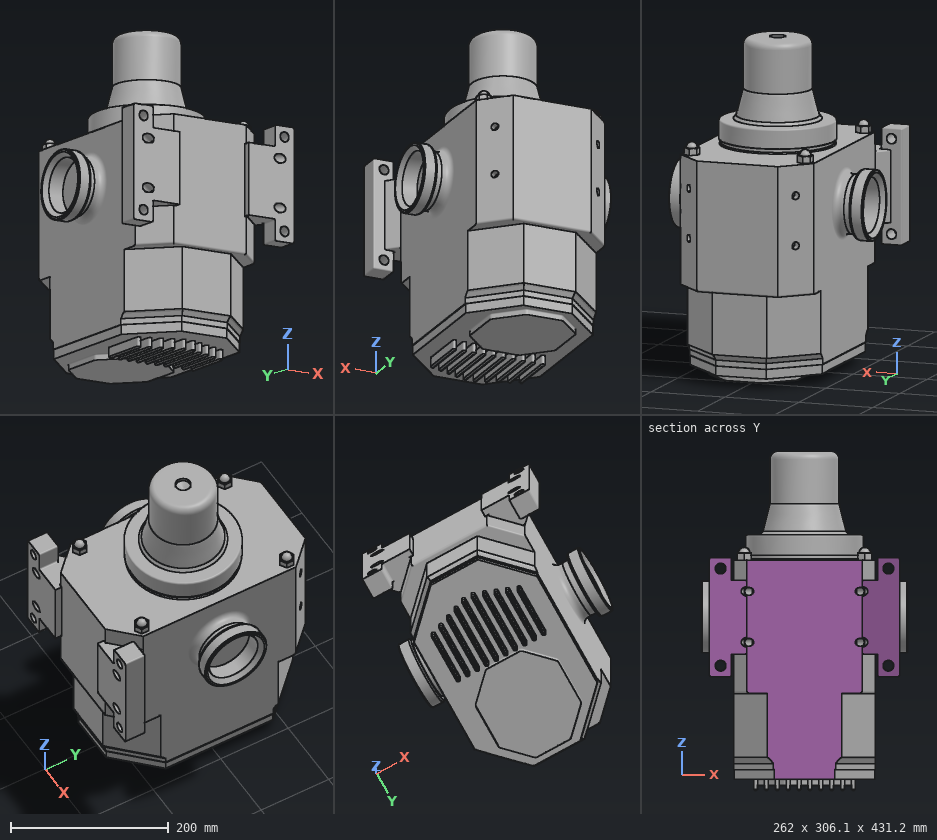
import cadquery as cq
import math


half_width = 90.0
cover_top = 278.5
upper_bottom = 109.0
upper_half_depth = 148.3
upper_corner = 35.5
upper_edge_round = 3.0
lower_half_depth = 140.5
lower_corner = 53.5
shoulder_top = 28.0
shoulder_break = 26.0
shoulder_bottom = 20.3
break_half_depth = 139.0
neck_half_depth = 135.5
neck_corner = 56.0
base_top = 12.5
base_inset = 1.0

shaft_top = 417.0
shaft_radius = 44.0
shaft_round = 10.0
shaft_bottom = 350.0
cone_top_radius = 45.0
cone_top = 347.5
cone_radius = 53.0
cone_bottom = 315.0
cone_foot_radius = 56.5
hub_top = 311.0
hub_bottom = 285.0
hub_radius = 75.0
hub_round = 2.5
spigot_radius = 72.5
spigot_foot = 1.7
center_hole_radius = 10.0
center_hole_depth = 4.5
center_hole_tip = 5.5

nut_x = 76.7
nut_y = 107.5
nut_flats = 17.5
nut_height = 9.0
nut_edge_angle = 30
dome_radius = 7.5

port_z = 206.5
boss_end = 103.5
pipe_radius = 38.5
boss_fillet = 8.0
fitting_end = 131.0
collar_inner = 113.0
collar_radius = 45.5
collar_edge = 1.5
collar_back_edge = 2.5
bore_radius = 35.8
mouth_radius = 42.0
mouth_depth = 6.5

bracket_front = -157.8
bracket_top = 253.5
bracket_bottom = 158.5
bracket_inner_x = 52.0
lug_inner_x = 92.2
lug_outer_x = 121.0
lug_back = -128.5
lug_top = 282.0
lug_bottom = 130.0
bracket_round = 2.0
lug_hole_x = 106.5
lug_hole_radius = 6.5
lug_hole_inset = 14.2
screw_spacing = 64.5
screw_hole_radius = 6.0
tapped_hole_radius = 4.7
tapped_hole_depth = 13.0

pad_half_width = 60.0
pad_back = 125.0
pad_front = -6.0
pad_corner = 34.5
pad_round = 5.0
pad_foot_round = 1.7
pad_height = 7.8
rib_count = 10
rib_pitch = 14.0
rib_width = 5.0
rib_back = -10.0
rib_shortest_front = -79.7
rib_front_step = 5.0
rib_height = 14.2
rib_tip = 2.0


def octagon(half_x, half_y, corner):
    """Corner points of a rectangle with 45 degree corners."""
    return [
        (half_x, half_y - corner),
        (half_x - corner, half_y),
        (corner - half_x, half_y),
        (-half_x, half_y - corner),
        (-half_x, corner - half_y),
        (corner - half_x, -half_y),
        (half_x - corner, -half_y),
        (half_x, corner - half_y),
    ]


def prism(outline, bottom, top):
    return cq.Workplane("XY").workplane(offset=bottom).polyline(outline).close().extrude(top - bottom)


def sloped_prism(bottom_outline, bottom, top_outline, top):
    """Body with flat sloping sides between two outlines at different heights."""
    return (
        cq.Workplane("XY")
        .workplane(offset=bottom)
        .polyline(bottom_outline)
        .close()
        .workplane(offset=top - bottom)
        .polyline(top_outline)
        .close()
        .loft(ruled=True)
    )


def make_casing():
    """Octagonal casing: wide upper part, narrower lower part, sloped shoulder, neck and base plate."""
    lower_outline = octagon(half_width, lower_half_depth, lower_corner)
    break_outline = octagon(half_width, break_half_depth, (lower_corner + neck_corner) / 2)
    neck_outline = octagon(half_width, neck_half_depth, neck_corner)
    upper = prism(octagon(half_width, upper_half_depth, upper_corner), upper_bottom, cover_top)
    upper = upper.faces("<Z").edges("not |Y").fillet(upper_edge_round)
    lower = prism(lower_outline, shoulder_top, upper_bottom)
    shoulder_edge = sloped_prism(break_outline, shoulder_break, lower_outline, shoulder_top)
    shoulder = sloped_prism(neck_outline, shoulder_bottom, break_outline, shoulder_break)
    neck = prism(neck_outline, base_top, shoulder_bottom)
    base_outline = octagon(half_width - base_inset, neck_half_depth - base_inset, neck_corner - base_inset)
    base = prism(base_outline, 0, base_top)
    return upper.union(lower).union(shoulder_edge).union(shoulder).union(neck).union(base)


def make_shaft():
    """Shaft with its cone, hub and spigot, turned about Z in one piece, with a drilled top."""
    arc_mid = math.sqrt(0.5)
    hub_flat_radius = hub_radius - hub_round
    hub_round_z = hub_top - hub_round
    shaft_flat_radius = shaft_radius - shaft_round
    shaft_round_z = shaft_top - shaft_round
    return (
        cq.Workplane("XZ")
        .moveTo(0, cover_top)
        .lineTo(spigot_radius + spigot_foot, cover_top)
        .lineTo(spigot_radius, cover_top + spigot_foot)
        .lineTo(spigot_radius, hub_bottom)
        .lineTo(hub_radius, hub_bottom)
        .lineTo(hub_radius, hub_round_z)
        .threePointArc(
            (hub_flat_radius + hub_round * arc_mid, hub_round_z + hub_round * arc_mid),
            (hub_flat_radius, hub_top),
        )
        .lineTo(cone_foot_radius, hub_top)
        .lineTo(cone_radius, cone_bottom)
        .lineTo(cone_top_radius, cone_top)
        .lineTo(shaft_radius, shaft_bottom)
        .lineTo(shaft_radius, shaft_round_z)
        .threePointArc(
            (shaft_flat_radius + shaft_round * arc_mid, shaft_round_z + shaft_round * arc_mid),
            (shaft_flat_radius, shaft_top),
        )
        .lineTo(center_hole_radius, shaft_top)
        .lineTo(center_hole_radius, shaft_top - center_hole_depth)
        .lineTo(0, shaft_top - center_hole_depth - center_hole_tip)
        .close()
        .revolve(360, (0, 0), (0, 1))
    )


def make_cap_nut(x, y):
    """Domed hexagon nut standing on the cover, with flats facing along X."""
    across_corners = nut_flats / math.cos(math.pi / 6)
    hexagon = cq.Workplane("XY").transformed(rotate=(0, 0, 30)).polygon(6, across_corners).extrude(nut_height)
    cone_foot = nut_flats / 2 + nut_height / math.tan(math.radians(nut_edge_angle))
    cone = cq.Workplane(cq.Solid.makeCone(cone_foot, nut_flats / 2, nut_height))
    dome = cq.Workplane("XY").sphere(dome_radius).translate((0, 0, nut_height))
    return hexagon.intersect(cone).union(dome).translate((x, y, cover_top))


def make_port_boss(side):
    """Short pipe boss on one X side, flared by a fillet where it meets the casing."""
    flare_radius = pipe_radius + boss_fillet
    flare_end = half_width + boss_fillet
    arc_offset = boss_fillet * (1 - math.sqrt(0.5))
    boss = (
        cq.Workplane("XY")
        .moveTo(half_width, 0)
        .lineTo(half_width, flare_radius)
        .threePointArc(
            (half_width + arc_offset, pipe_radius + arc_offset),
            (flare_end, pipe_radius),
        )
        .lineTo(boss_end, pipe_radius)
        .lineTo(boss_end, 0)
        .close()
        .revolve(360, (0, 0), (1, 0))
        .translate((0, 0, port_z))
    )
    return boss if side > 0 else boss.mirror("YZ")


def make_corner_holes(radius, outer_distance, inner_distance):
    """Cylinders square to the four corner faces, between two distances along each face normal."""
    face_x = half_width - upper_corner / 2
    face_y = upper_half_depth - upper_corner / 2
    holes = cq.Workplane("XY")
    for side_x in (-1, 1):
        for side_y in (-1, 1):
            normal = cq.Vector(side_x, side_y, 0).normalized()
            for level in (-screw_spacing / 2, screw_spacing / 2):
                face_center = cq.Vector(side_x * face_x, side_y * face_y, port_z + level)
                start = face_center + normal * outer_distance
                length = outer_distance + inner_distance
                holes = holes.add(cq.Solid.makeCylinder(radius, length, start, normal * -1))
    return holes.combine()


def make_pad():
    """Raised pad with cut corners under the rear of the base plate."""
    half_length = (pad_back - pad_front) / 2
    outline = octagon(pad_half_width, half_length, pad_corner)
    pad = prism(outline, -pad_height, 0).edges("|Z").fillet(pad_round)
    return pad.translate((0, (pad_back + pad_front) / 2, 0))


def make_rib(index):
    """Rib along Y with round ends and a tapered tip; ribs get longer towards the middle of the row."""
    steps_from_end = min(index, rib_count - 1 - index)
    front = rib_shortest_front - rib_front_step * steps_from_end
    x = (index - (rib_count - 1) / 2) * rib_pitch
    return (
        cq.Workplane("XY")
        .center(x, (rib_back + front) / 2)
        .slot2D(rib_back - front, rib_width, 90)
        .extrude(-rib_height)
        .faces("<Z")
        .chamfer(rib_tip)
    )


def make_housing():
    housing = make_casing().union(make_shaft())
    for x in (-nut_x, nut_x):
        for y in (-nut_y, nut_y):
            housing = housing.union(make_cap_nut(x, y))
    for side in (-1, 1):
        housing = housing.union(make_port_boss(side))
    housing = housing.union(make_pad())
    pad_foot = cq.selectors.BoxSelector(
        (-pad_half_width - pad_foot_round, pad_front - pad_foot_round, -pad_foot_round / 2),
        (pad_half_width + pad_foot_round, pad_back + pad_foot_round, pad_foot_round / 2),
        boundingbox=True,
    )
    housing = housing.edges(pad_foot).fillet(pad_foot_round)
    for index in range(rib_count):
        housing = housing.union(make_rib(index))
    return housing.cut(make_corner_holes(tapped_hole_radius, 0, tapped_hole_depth))


def make_fitting(side):
    """Pipe fitting with a collar and a flared bore, butted against the port boss."""
    fitting = (
        cq.Workplane("XY")
        .moveTo(boss_end, bore_radius)
        .lineTo(boss_end, pipe_radius)
        .lineTo(collar_inner, pipe_radius)
        .lineTo(collar_inner, collar_radius - collar_edge)
        .lineTo(collar_inner + collar_back_edge, collar_radius)
        .lineTo(fitting_end - collar_edge, collar_radius)
        .lineTo(fitting_end, collar_radius - collar_edge)
        .lineTo(fitting_end, mouth_radius)
        .lineTo(fitting_end - mouth_depth, bore_radius)
        .close()
        .revolve(360, (0, 0), (1, 0))
        .translate((0, 0, port_z))
    )
    return fitting if side > 0 else fitting.mirror("YZ")


def make_lug_fillet(level, direction):
    """Concave fillet strip along Y in the corner between the wedge and the inner side of the lug."""
    foot_x = lug_inner_x - bracket_round
    crest_z = level + direction * bracket_round
    arc_offset = bracket_round * (1 - math.sqrt(0.5))
    return (
        cq.Workplane("XZ", origin=(0, bracket_front, 0))
        .moveTo(foot_x, level)
        .threePointArc(
            (lug_inner_x - arc_offset, level + direction * arc_offset),
            (lug_inner_x, crest_z),
        )
        .lineTo(lug_inner_x, level)
        .close()
        .extrude(bracket_front - lug_back + bracket_round)
    )


def make_bracket(side):
    """Mounting bracket: a wedge against one front corner face and an upright lug with two holes."""
    gusset_run = -lug_back - (upper_half_depth - upper_corner)
    wedge_outline = [
        (bracket_inner_x, bracket_front),
        (bracket_inner_x, -upper_half_depth),
        (half_width - upper_corner, -upper_half_depth),
        (half_width, upper_corner - upper_half_depth),
        (half_width + gusset_run, lug_back),
        (half_width + gusset_run, bracket_front),
    ]
    wedge = prism(wedge_outline, bracket_bottom, bracket_top)
    diagonal_faces = wedge.faces("not (|X or |Y or |Z)")
    wedge = diagonal_faces.edges(">Z or <Z").fillet(bracket_round)
    lug_outline = [
        (lug_inner_x, bracket_front),
        (lug_inner_x, lug_back),
        (lug_outer_x, lug_back),
        (lug_outer_x, bracket_front),
    ]
    lug = prism(lug_outline, lug_bottom, lug_top)
    lug = lug.edges("not <Y").fillet(bracket_round)
    bracket = wedge.union(lug)
    bracket = bracket.union(make_lug_fillet(bracket_top, 1)).union(make_lug_fillet(bracket_bottom, -1))
    for z in (lug_bottom + lug_hole_inset, lug_top - lug_hole_inset):
        hole_start = cq.Vector(lug_hole_x, bracket_front, z)
        hole_length = lug_back - bracket_front
        hole = cq.Solid.makeCylinder(lug_hole_radius, hole_length, hole_start, cq.Vector(0, 1, 0))
        bracket = bracket.cut(cq.Workplane(hole))
    screw_reach = 2 * (lug_outer_x - half_width)
    bracket = bracket.cut(make_corner_holes(screw_hole_radius, screw_reach, 0))
    return bracket if side > 0 else bracket.mirror("YZ")


housing = make_housing()
fittings = [make_fitting(side) for side in (-1, 1)]
brackets = [make_bracket(side) for side in (-1, 1)]

result = cq.Compound.makeCompound(
    [housing.val()] + [fitting.val() for fitting in fittings] + [bracket.val() for bracket in brackets]
)